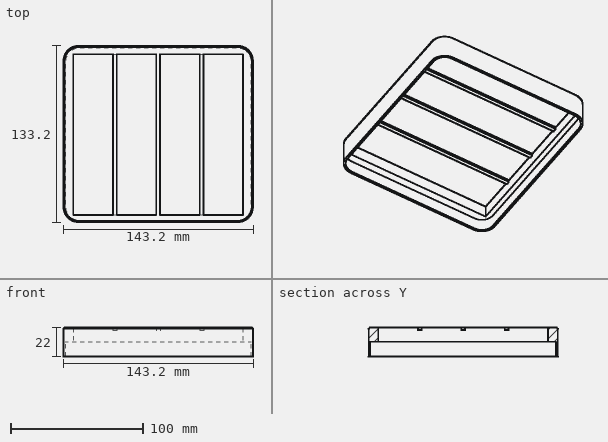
import cadquery as cq

cavity_length = 140.0
cavity_width = 130.0
cavity_depth = 11.0
cavity_corner_radius = 10.0
wall = 1.6

height = 22.0
top_chamfer = 1.0
body_length = cavity_length + 2 * wall
body_width = cavity_width + 2 * wall
body_corner_radius = cavity_corner_radius + wall

window_length = 128.0
window_width = 121.0
window_center_y = -0.5

bar_count = 3
bar_width = 3.0
bar_height = 2.0
cell_length = (window_length - bar_count * bar_width) / (bar_count + 1)
bar_pitch = cell_length + bar_width


def make_body():
    """Rounded rectangular block with a chamfered top edge."""
    block = cq.Workplane("XY").rect(body_length, body_width).extrude(height)
    block = block.edges("|Z").fillet(body_corner_radius)
    return block.faces(">Z").edges().chamfer(top_chamfer)


def make_cavity():
    """Rounded pocket open at the bottom, leaving a skirt of even thickness."""
    pocket = cq.Workplane("XY").rect(cavity_length, cavity_width).extrude(cavity_depth)
    return pocket.edges("|Z").fillet(cavity_corner_radius)


def make_window():
    """Rectangular opening through the full height."""
    plane = cq.Workplane("XY", origin=(0, window_center_y, 0))
    return plane.rect(window_length, window_width).extrude(height)


def make_bar(center_x):
    """Bar spanning the window along Y, with its top at the top face."""
    plane = cq.Workplane("XY", origin=(center_x, window_center_y, height - bar_height))
    return plane.rect(bar_width, window_width).extrude(bar_height)


result = make_body().cut(make_cavity()).cut(make_window())
for index in range(bar_count):
    bar_x = (index - (bar_count - 1) / 2) * bar_pitch
    result = result.union(make_bar(bar_x))